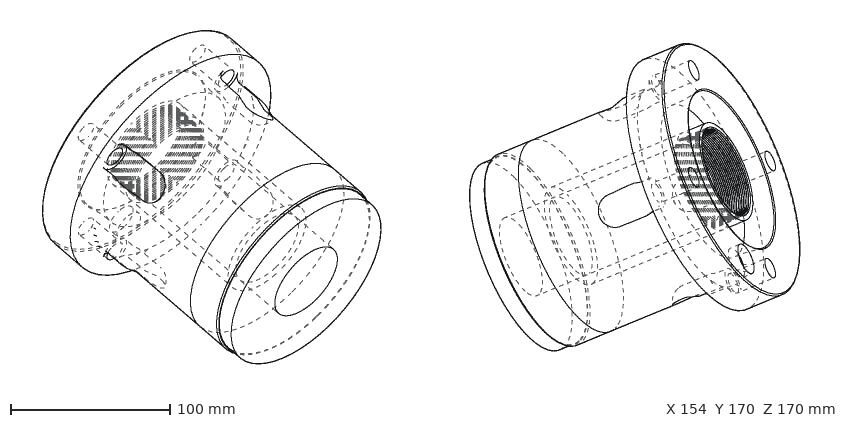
import cadquery as cq
import math


total_length = 154.0
flange_thickness = 27.0
cap_start = 117.5

flange_radius = 85.0
flange_chamfer = 1.0
neck_radius = 67.7
neck_fillet = 4.5
neck_end = 47.0
barrel_start = 56.0
barrel_radius = 65.0

seat_taper_angle = 7.125
seat_mouth_radius = 53.2
seat_chamfer = 0.8
seat_taper_end = 13.3
seat_depth = 21.3

bolt_count = 4
bolt_circle_radius = 66.7
bolt_hole_radius = 6.6
groove_entry_radius = 10.0
groove_radius = 11.0
groove_taper_start = 34.4
groove_taper_end = 39.0
groove_ball_center = 58.7

drive_hole_radius = 10.0
drive_hole_depth = 7.0
drive_hole_angle = 15.0

tube_start = 4.3
tube_radius = 33.0
bore_radius = 26.5
thread_crest_radius = 29.0
thread_root_radius = 30.0
thread_pitch = 1.25
thread_turns = 16
thread_start = tube_start + thread_pitch / 2
thread_end = thread_start + thread_turns * thread_pitch

cap_shoulder = 143.0
cap_chamfer = 1.0
cap_spigot_radius = 63.5


def revolve(profile):
    """Turn a closed (x, radius) profile around the X axis."""
    return profile.close().revolve(360, (0, 0, 0), (1, 0, 0))


def bolt_cutter():
    """Bolt hole through the flange plus the ball-ended groove along the neck, on the X axis."""
    profile = (
        cq.Workplane("XZ")
        .lineTo(0, bolt_hole_radius)
        .lineTo(flange_thickness, bolt_hole_radius)
        .lineTo(flange_thickness, groove_entry_radius)
        .lineTo(groove_taper_start, groove_entry_radius)
        .lineTo(groove_taper_end, groove_radius)
        .lineTo(groove_ball_center, groove_radius)
        .radiusArc((groove_ball_center + groove_radius, 0), groove_radius)
    )
    return revolve(profile)


def make_housing():
    """Flanged housing with a tapered seat, a through bore for the draw tube and bolt grooves."""
    seat_floor_radius = seat_mouth_radius - (seat_taper_end - seat_chamfer) * math.tan(
        math.radians(seat_taper_angle)
    )
    profile = (
        cq.Workplane("XZ")
        .moveTo(0, seat_mouth_radius + seat_chamfer)
        .lineTo(0, flange_radius - flange_chamfer)
        .lineTo(flange_chamfer, flange_radius)
        .lineTo(flange_thickness, flange_radius)
        .lineTo(flange_thickness, neck_radius + neck_fillet)
        .radiusArc((flange_thickness + neck_fillet, neck_radius), -neck_fillet)
        .lineTo(neck_end, neck_radius)
        .lineTo(barrel_start, barrel_radius)
        .lineTo(cap_start, barrel_radius)
        .lineTo(cap_start, tube_radius)
        .lineTo(seat_depth, tube_radius)
        .lineTo(seat_depth, seat_floor_radius)
        .lineTo(seat_taper_end, seat_floor_radius)
        .lineTo(seat_chamfer, seat_mouth_radius)
    )
    body = revolve(profile)

    for i in range(bolt_count):
        angle = (i + 0.5) * 360 / bolt_count
        cutter = bolt_cutter().translate((0, 0, -bolt_circle_radius))
        body = body.cut(cutter.rotate((0, 0, 0), (1, 0, 0), angle))

    drive_hole = (
        cq.Workplane("YZ")
        .center(
            -bolt_circle_radius * math.sin(math.radians(drive_hole_angle)),
            -bolt_circle_radius * math.cos(math.radians(drive_hole_angle)),
        )
        .circle(drive_hole_radius)
        .extrude(drive_hole_depth)
    )
    return body.cut(drive_hole)


def make_draw_tube():
    """Tube in the housing bore, with an internal thread made of ring-shaped V grooves.

    The mouth is half a groove, and a ledge at the end of the thread narrows to the bore.
    """
    profile = (
        cq.Workplane("XZ")
        .moveTo(tube_start, thread_root_radius)
        .lineTo(tube_start, tube_radius)
        .lineTo(cap_start, tube_radius)
        .lineTo(cap_start, bore_radius)
        .lineTo(thread_end, bore_radius)
        .lineTo(thread_end, thread_crest_radius)
    )
    for turn in reversed(range(thread_turns)):
        turn_start = thread_start + turn * thread_pitch
        profile = profile.lineTo(turn_start + thread_pitch / 2, thread_root_radius)
        profile = profile.lineTo(turn_start, thread_crest_radius)
    return revolve(profile)


def make_end_cap():
    """Ring that closes the far end of the housing and steps down to a short spigot."""
    profile = (
        cq.Workplane("XZ")
        .moveTo(cap_start, bore_radius)
        .lineTo(cap_start, barrel_radius)
        .lineTo(cap_shoulder - cap_chamfer, barrel_radius)
        .lineTo(cap_shoulder, barrel_radius - cap_chamfer)
        .lineTo(cap_shoulder, cap_spigot_radius)
        .lineTo(total_length, cap_spigot_radius)
        .lineTo(total_length, bore_radius)
    )
    return revolve(profile)


housing = make_housing()
draw_tube = make_draw_tube()
end_cap = make_end_cap()

result = cq.Compound.makeCompound([housing.val(), draw_tube.val(), end_cap.val()])